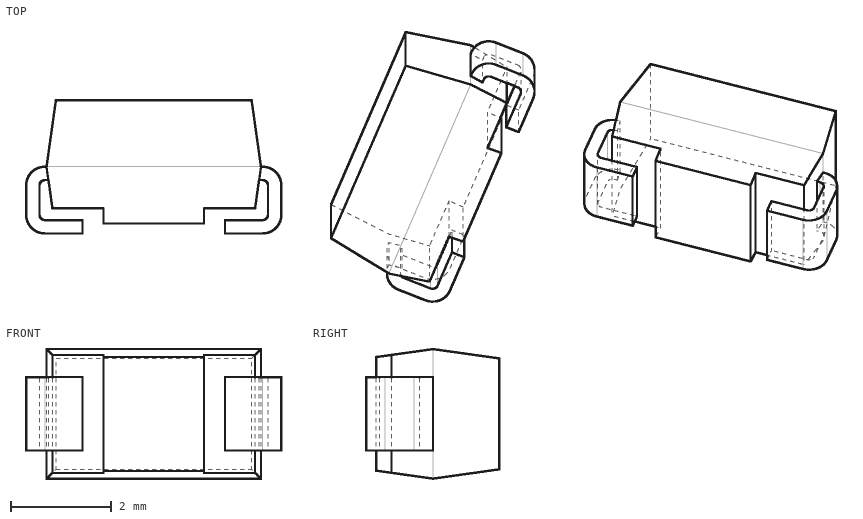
import cadquery as cq
import math

housing_length = 4.265
housing_height = 2.58
back_depth = 1.32
front_depth = 1.135
shoulder_depth = 0.83
standoff_width = 2.0
draft_angle = 8.0

overall_length = 5.08
lead_depth = 1.33
lead_thickness = 0.27
lead_height = 1.46
foot_length = 1.13
outer_bend_radius = 0.375
inner_bend_radius = outer_bend_radius - lead_thickness

draft_slope = math.tan(math.radians(draft_angle))


def drafted_half(depth, side):
    """Half of the housing, tapering from the parting plane toward side * Y."""
    inset = 2 * depth * draft_slope
    return (
        cq.Workplane("XZ")
        .rect(housing_length, housing_height)
        .workplane(offset=-side * depth)
        .rect(housing_length - inset, housing_height - inset)
        .loft(ruled=True)
    )


def shoulder_cutter(side):
    """Block that cuts the front back to the shoulder beside the standoff."""
    width = (housing_length - standoff_width) / 2
    depth = front_depth - shoulder_depth
    center_x = side * (standoff_width + width) / 2
    center_y = -(shoulder_depth + front_depth) / 2
    return cq.Workplane("XY").box(width, depth, housing_height).translate((center_x, center_y, 0))


def make_housing():
    body = drafted_half(back_depth, 1).union(drafted_half(front_depth, -1))
    for side in (-1, 1):
        body = body.cut(shoulder_cutter(side))
    return body.solids()


def bend_middle(center_x, center_y, radius, turn):
    """Middle point of a quarter bend on the +X side; turn is +1 at the back, -1 at the foot."""
    reach = radius * math.sqrt(0.5)
    return center_x + reach, center_y + turn * reach


def make_lead(side):
    """C-shaped lead; its root butts against the drafted end face of the housing."""
    outer_x = overall_length / 2
    inner_x = outer_x - lead_thickness
    root_x = housing_length / 2
    drafted_root_x = root_x - lead_thickness * draft_slope
    foot_end_x = outer_x - foot_length
    foot_inner_y = lead_thickness - lead_depth
    bend_x = outer_x - outer_bend_radius
    back_bend_y = -outer_bend_radius
    foot_bend_y = outer_bend_radius - lead_depth

    lead = (
        cq.Workplane("XY")
        .workplane(offset=-lead_height / 2)
        .moveTo(root_x, 0)
        .lineTo(bend_x, 0)
        .threePointArc(bend_middle(bend_x, back_bend_y, outer_bend_radius, 1), (outer_x, back_bend_y))
        .lineTo(outer_x, foot_bend_y)
        .threePointArc(bend_middle(bend_x, foot_bend_y, outer_bend_radius, -1), (bend_x, -lead_depth))
        .lineTo(foot_end_x, -lead_depth)
        .lineTo(foot_end_x, foot_inner_y)
        .lineTo(bend_x, foot_inner_y)
        .threePointArc(bend_middle(bend_x, foot_bend_y, inner_bend_radius, -1), (inner_x, foot_bend_y))
        .lineTo(inner_x, back_bend_y)
        .threePointArc(bend_middle(bend_x, back_bend_y, inner_bend_radius, 1), (bend_x, -lead_thickness))
        .lineTo(drafted_root_x, -lead_thickness)
        .close()
        .extrude(lead_height)
    )
    if side < 0:
        lead = lead.mirror("YZ")
    return lead


housing = make_housing()
leads = [make_lead(side) for side in (-1, 1)]

result = cq.Compound.makeCompound([housing.val(), *[lead.val() for lead in leads]])